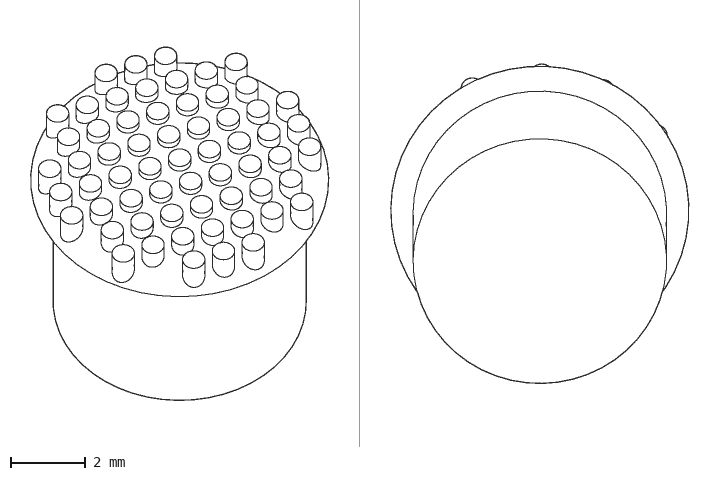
import cadquery as cq
import math

total_height = 6.2
crown_height = 6.0
rim_height = 5.25
body_height = 4.9

body_radius = 6.8 / 2
rim_radius = 8.0 / 2
flat_radius = 1.57

pin_diameter = 0.6
row_reach = [4, 4, 3, 3, 1]
last_row = len(row_reach) - 1
pin_pitch = body_radius / last_row


def domed_body():
    """Cylinder flaring out to a sharp rim, closed by a dome with a flat crown."""
    dome_width = rim_radius - flat_radius
    dome_drop = crown_height - rim_height
    dome_arc_radius = (dome_width**2 + dome_drop**2) / (2 * dome_drop)
    half_sweep = math.asin(dome_width / dome_arc_radius) / 2
    arc_middle = (
        flat_radius + dome_arc_radius * math.sin(half_sweep),
        crown_height - dome_arc_radius * (1 - math.cos(half_sweep)),
    )
    return (
        cq.Workplane("XZ")
        .lineTo(body_radius, 0)
        .lineTo(body_radius, body_height)
        .lineTo(rim_radius, rim_height)
        .threePointArc(arc_middle, (flat_radius, crown_height))
        .lineTo(0, crown_height)
        .close()
        .revolve(360, (0, 0), (0, 1))
    )


def pin_centers():
    """Grid points of all pins, in rows symmetric about the centre."""
    return [
        (column * pin_pitch, row * pin_pitch)
        for row in range(-last_row, last_row + 1)
        for column in range(-row_reach[abs(row)], row_reach[abs(row)] + 1)
    ]


def pins():
    """Vertical pins rooted inside the body and ending at one common height."""
    return (
        cq.Workplane("XY")
        .workplane(offset=rim_height)
        .pushPoints(pin_centers())
        .circle(pin_diameter / 2)
        .extrude(total_height - rim_height)
    )


result = domed_body().union(pins())